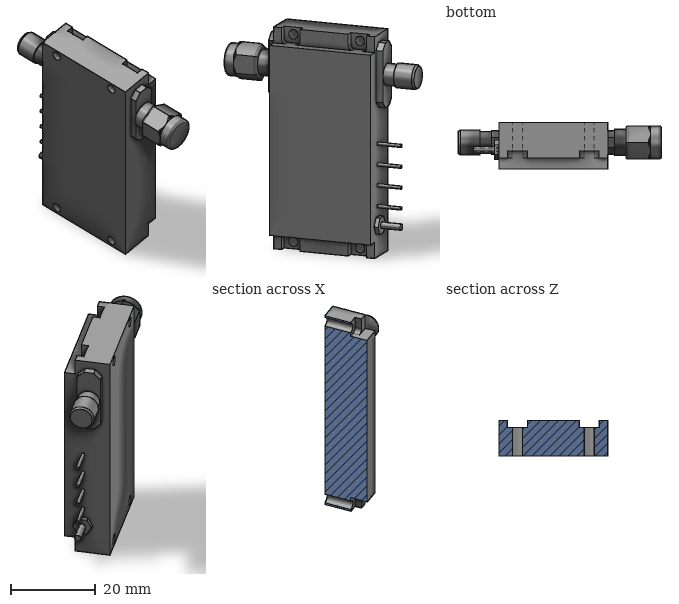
import cadquery as cq
import math

body_width = 25.7
body_depth = 11.0
body_height = 54.0
right_face = body_width / 2
left_face = -right_face

ledge_height = 3.9
ledge_depth = 2.6

hole_diameter = 2.3
hole_spacing = 16.95
hole_inset = 1.8
notch_width = 4.7
notch_corner_radius = 1.1
notch_depth = 1.7

connector_y = 4.75
connector_z = 44.15
flange_width = 5.6
flange_height = 15.75
flange_chamfer = 1.6

left_flange_thickness = 1.75
left_neck_diameter = 5.3
left_neck_length = 2.75
left_barrel_diameter = 5.95
left_barrel_length = 5.15
left_rim_length = 0.55
left_rim_drop = 0.3

right_flange_thickness = 1.55
right_neck_diameter = 6.25
right_neck_length = 2.7
nut_corners = 9.05
nut_length = 5.85
nut_edge_radius = 0.55
nut_tip_bevel = 0.25
nut_bevel_length = 0.55
nut_bevel_outer_radius = 4.3
nut_flats = nut_corners * math.cos(math.pi / 6)
right_barrel_diameter = nut_flats
right_barrel_length = 2.55
right_rim_radius = 0.55

pin_y = 6.5
terminal_length = 6.0
pin_diameter = 0.8
pin_count = 4
pin_pitch = 5.1
lowest_pin_z = 12.3
stud_z = 7.8
stud_diameter = 1.55
stud_nut_flats = 4.0
stud_nut_corners = stud_nut_flats / math.cos(math.pi / 6)
stud_nut_thickness = 1.0


def side_plane(x, y, z, direction):
    """Plane across the X axis, facing direction (+1 or -1), with its local x along +Z."""
    return cq.Workplane(cq.Plane(origin=(x, y, z), xDir=(0, 0, 1), normal=(direction, 0, 0)))


def stepped_block():
    """Block whose back is cut back along its top and bottom edges."""
    back = body_depth
    step = body_depth - ledge_depth
    upper = body_height - ledge_height
    outline = [
        (0, 0),
        (step, 0),
        (step, ledge_height),
        (back, ledge_height),
        (back, upper),
        (step, upper),
        (step, body_height),
        (0, body_height),
    ]
    return cq.Workplane("YZ").polyline(outline).close().extrude(body_width).translate((left_face, 0, 0))


def mounting_hole(x, z):
    return cq.Workplane("XZ", origin=(x, 0, z)).circle(hole_diameter / 2).extrude(-body_depth)


def screw_notch(x, end_z, inward):
    """Notch from the end face down to ledge level, with rounded floor corners (inward = +1 or -1 in Z)."""
    notch_start = body_depth - ledge_depth - notch_depth
    floor_edges = ">Z" if inward > 0 else "<Z"
    return (
        cq.Workplane("XZ", origin=(x, notch_start, end_z + inward * ledge_height / 2))
        .rect(notch_width, ledge_height)
        .extrude(-notch_depth)
        .edges("|Y")
        .edges(floor_edges)
        .fillet(notch_corner_radius)
    )


def flange(x, thickness, direction):
    """Connector flange with chamfered corners."""
    return (
        side_plane(x, connector_y, connector_z, direction)
        .rect(flange_height, flange_width)
        .extrude(thickness)
        .edges("|X")
        .chamfer(flange_chamfer)
    )


def cylinder(x, y, z, diameter, length, direction):
    return side_plane(x, y, z, direction).circle(diameter / 2).extrude(length)


def turned_ring(x, profile):
    """Solid of revolution about the connector axis, from (distance along X, radius) points."""
    ring = cq.Workplane("XZ").polyline(profile).close().revolve(360, (0, 0, 0), (1, 0, 0))
    return ring.translate((x, connector_y, connector_z))


def coupling_nut(x):
    """Hexagonal nut, corners up and down, rounded at the inner end and bevelled at the outer end."""
    hexagon = (
        side_plane(x, connector_y, connector_z, 1)
        .polygon(6, nut_corners)
        .extrude(nut_length)
        .faces("<X")
        .edges()
        .fillet(nut_edge_radius)
    )
    corner_radius = nut_corners / 2
    tip_bevel = [
        (nut_length - nut_tip_bevel, corner_radius),
        (nut_length, corner_radius),
        (nut_length, corner_radius - nut_tip_bevel),
    ]
    flat_bevel = [
        (nut_length - nut_bevel_length, nut_bevel_outer_radius),
        (nut_length, nut_bevel_outer_radius),
        (nut_length, nut_flats / 2),
    ]
    return hexagon.cut(turned_ring(x, tip_bevel)).cut(turned_ring(x, flat_bevel))


def left_connector():
    neck_start = left_face - left_flange_thickness
    barrel_start = neck_start - left_neck_length
    neck = cylinder(neck_start, connector_y, connector_z, left_neck_diameter, left_neck_length, -1)
    barrel = (
        cylinder(barrel_start, connector_y, connector_z, left_barrel_diameter, left_barrel_length, -1)
        .faces("<X")
        .chamfer(left_rim_length, left_rim_drop)
    )
    return flange(left_face, left_flange_thickness, -1).union(neck).union(barrel)


def right_connector():
    neck_start = right_face + right_flange_thickness
    nut_start = neck_start + right_neck_length
    barrel_start = nut_start + nut_length
    neck = cylinder(neck_start, connector_y, connector_z, right_neck_diameter, right_neck_length, 1)
    barrel = (
        cylinder(barrel_start, connector_y, connector_z, right_barrel_diameter, right_barrel_length, 1)
        .faces(">X")
        .edges()
        .fillet(right_rim_radius)
    )
    return (
        flange(right_face, right_flange_thickness, 1)
        .union(neck)
        .union(coupling_nut(nut_start))
        .union(barrel)
    )


def ground_stud():
    nut = (
        side_plane(left_face, pin_y, stud_z, -1)
        .transformed(rotate=(0, 0, 90))
        .polygon(6, stud_nut_corners)
        .extrude(stud_nut_thickness)
    )
    return nut.union(cylinder(left_face, pin_y, stud_z, stud_diameter, terminal_length, -1))


result = stepped_block()

for hole_x in (-hole_spacing / 2, hole_spacing / 2):
    for end_z, inward in ((0, 1), (body_height, -1)):
        result = result.cut(mounting_hole(hole_x, end_z + inward * hole_inset))
        result = result.cut(screw_notch(hole_x, end_z, inward))

result = result.union(left_connector()).union(right_connector()).union(ground_stud())

for pin_index in range(pin_count):
    pin_z = lowest_pin_z + pin_index * pin_pitch
    result = result.union(cylinder(left_face, pin_y, pin_z, pin_diameter, terminal_length, -1))